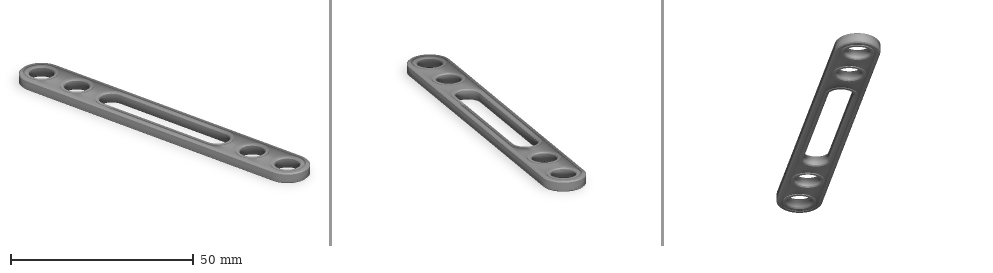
import cadquery as cq

length = 100.0
width = 12.5
thickness = 3.1
edge_chamfer = 0.3

pitch = width
end_arc_spacing = length - width
slot_arc_spacing = 3 * pitch
end_hole_x = end_arc_spacing / 2
inner_hole_x = end_hole_x - pitch
hole_positions = [-end_hole_x, -inner_hole_x, inner_hole_x, end_hole_x]
opening_diameter = 7.0

lip_diameter = 9.2
border_width = 1.1
recess_depth = 0.2


def oval(arc_spacing, diameter, height, base_z):
    """Upright round-ended prism centred on the Z axis, lying along X."""
    return (
        cq.Workplane("XY", origin=(0, 0, base_z))
        .slot2D(arc_spacing + diameter, diameter)
        .extrude(height)
    )


def opening_prisms(diameter, height, base_z):
    """Prisms of one diameter at the central slot and the four round holes."""
    prisms = oval(slot_arc_spacing, diameter, height, base_z)
    for x in hole_positions:
        cylinder = cq.Workplane("XY", origin=(x, 0, base_z)).circle(diameter / 2).extrude(height)
        prisms = prisms.union(cylinder)
    return prisms


def face_recess(base_z):
    """Volume removed from one face between the border and the lips."""
    recess = oval(end_arc_spacing, width - 2 * border_width, recess_depth, base_z)
    return recess.cut(opening_prisms(lip_diameter, recess_depth, base_z))


bar = oval(end_arc_spacing, width, thickness, 0)
bar = bar.cut(opening_prisms(opening_diameter, thickness, 0))

bar = bar.faces("<Z or >Z").chamfer(edge_chamfer)

bar = bar.cut(face_recess(0))
result = bar.cut(face_recess(thickness - recess_depth))